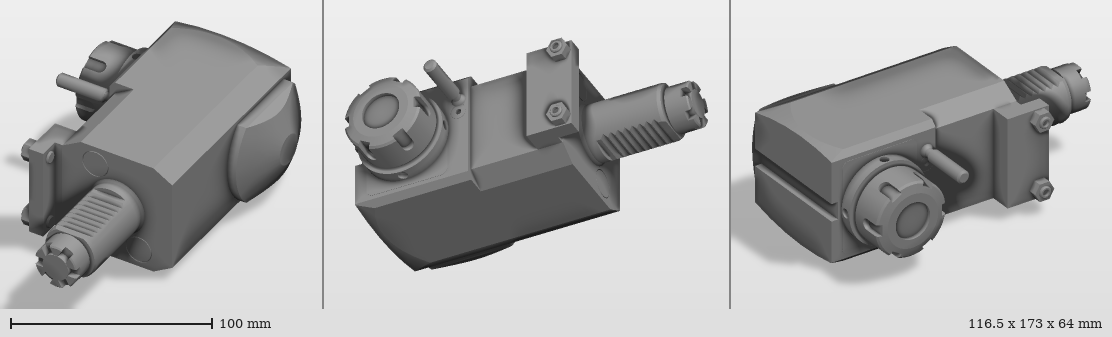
import cadquery as cq
import math


half_width = 32.0
back_y = 113.8
head_start_y = 51.0
head_left_x = -35.3
head_chamfer = -half_width - head_left_x
side_chamfer_x = 10.9
side_chamfer_z = 6.4
side_edge_z = half_width - side_chamfer_z
notch_depth = 4.0
notch_width = 10.0
crown_angle = 15.0
crown_x = -9.2
crown_center_z = 127.8
crown_radius = 159.0

plug_radius = 7.6
plug_inner_radius = 7.1
plug_groove_depth = 0.7
plug_x = 12.6
plug_z = 21.6

shank_radius = 15.0
shank_length = 45.3
shank_collar_radius = 16.1
shank_collar_length = 1.9
shank_chamfer = 0.7
shank_chamfer_length = 1.9
neck_radius = 9.7
flat_height = 12.0
flat_start = 7.1
tooth_depth = 1.5
tooth_pitch = 4.0
tooth_count = 8
first_tooth = 9.7

slot_count = 6

shank_nut_start = 46.4
overall_length = 173.0
shank_core_end = overall_length - back_y
shank_core_height = 0.2
shank_nut_end = shank_core_end - shank_core_height
shank_nut_radius = 12.3
shank_nut_chamfer = 0.7
shank_slot_depth = 3.6
shank_slot_width = 5.2
shank_core_radius = 7.5

spindle_y = 85.0
collar_radius = 23.5
collar_back = 1.0
collar_front = 8.0
collar_hole_radius = 2.6
collar_hole_depth = 3.5
collar_hole_count = 4
spindle_neck_radius = 19.7
nut_back = 9.0
nut_front = 29.5
nut_radius = 21.1
nut_edge = 0.7
nut_face_drop = 2.2
nut_face_rim_drop = 1.2
nut_face_rim_radius = 20.0
nut_face_radius = 15.2
bore_radius = 10.4
bore_depth = 2.6
nut_slot_width = 6.4
nut_slot_length = 13.1
nut_slot_floor = 18.0

plate_length = 45.0
plate_height = 53.0
plate_corner = 4.0
plate_thickness = 0.2

pipe_y = 56.4
pipe_z = 17.0
pipe_radius = 3.6
pipe_end = 32.9
pipe_start = 5.2
pipe_chamfer = 1.0
pipe_neck_radius = 2.5
pipe_neck_start = 2.0
pipe_foot_radius = 3.8
screw_z = 9.7
screw_radius = 4.3
screw_inner_radius = 4.0
screw_socket_radius = 1.5
screw_socket_depth = 1.7

bracket_left_x = -44.6
bracket_leg_right_x = -36.3
bracket_back_y = 14.0
bracket_step_y = 0.3
bracket_front_y = -10.9
bolt_y = -5.0
bolt_z = 19.9
bolt_radius = 3.3
bolt_left_x = -50.9
bolt_right_x = -35.1
bolt_chamfer = 0.5
bolt_socket_radius = 1.9
bolt_socket_depth = 1.7
hex_across_flats = 10.0
hex_height = 4.8

cap_flange = 5.2
cap_height = 16.3
cap_radius = 32.2
cap_tip_radius = 8.5
cap_half_width = 23.2
cap_top = 24.5
cap_side_taper = 5.2


def box(x_range, y_range, z_range):
    """Box given by its lower and upper limit along each axis."""
    sizes = [high - low for low, high in (x_range, y_range, z_range)]
    corner = (x_range[0], y_range[0], z_range[0])
    return cq.Workplane("XY").box(*sizes, centered=False).translate(corner)


def symmetric_prism(upper_points, y_start, y_end):
    """Prism along Y whose (x, z) outline is mirrored about Z = 0."""
    lower_points = [(x, -z) for x, z in reversed(upper_points)]
    outline = cq.Workplane("XZ", origin=(0, y_start, 0)).polyline(upper_points + lower_points)
    return outline.close().extrude(y_start - y_end)


def left_cylinder(x_start, x_end, radius, y, z):
    """Cylinder along X from x_start to the lower value x_end."""
    return cq.Workplane("YZ", origin=(x_start, y, z)).circle(radius).extrude(x_end - x_start)


def turned_left(points, y, z=0):
    """Solid of revolution from (distance beyond the head face, radius) points."""
    profile = [(head_left_x - distance, radius) for distance, radius in points]
    start_x, end_x = profile[0][0], profile[-1][0]
    outline = cq.Workplane("XY").polyline([(start_x, 0), *profile, (end_x, 0)]).close()
    return outline.revolve(360, (0, 0, 0), (1, 0, 0)).translate((0, y, z))


def make_housing():
    right_edge = [
        (half_width - side_chamfer_x, half_width),
        (half_width, side_edge_z),
    ]
    head = symmetric_prism(
        [(head_left_x, half_width - head_chamfer), (-half_width, half_width), *right_edge],
        head_start_y, back_y)
    front = symmetric_prism(
        [(-half_width, side_edge_z), (side_chamfer_x - half_width, half_width), *right_edge],
        0, head_start_y)
    body = front.union(head)

    crown_end_radius = crown_radius + back_y * math.tan(math.radians(crown_angle))
    for side in (1, -1):
        cone = cq.Solid.makeCone(
            crown_end_radius, crown_radius, back_y,
            pnt=cq.Vector(crown_x, 0, -side * crown_center_z), dir=cq.Vector(0, 1, 0))
        body = body.intersect(cq.Workplane(cone))

    notch = box((head_left_x, half_width), (back_y - notch_depth, back_y),
                (-notch_width / 2, notch_width / 2))
    body = body.cut(notch)

    plug_places = [(-plug_x, plug_z), (plug_x, -plug_z)]
    plug_face = cq.Workplane("XZ").pushPoints(plug_places)
    groove = plug_face.circle(plug_radius).circle(plug_inner_radius).extrude(-plug_groove_depth)
    return body.cut(groove)


def make_shank():
    profile = [
        (0, 0),
        (shank_collar_radius, 0),
        (shank_radius, -shank_collar_length),
        (shank_radius, shank_chamfer_length - shank_length),
        (shank_radius - shank_chamfer, -shank_length),
        (neck_radius, -shank_length),
        (neck_radius, -shank_nut_start),
        (shank_nut_radius, -shank_nut_start),
        (shank_nut_radius, shank_nut_chamfer - shank_nut_end),
        (shank_nut_radius - shank_nut_chamfer, -shank_nut_end),
        (shank_core_radius, -shank_nut_end),
        (shank_core_radius, -shank_core_end),
        (0, -shank_core_end),
    ]
    shank = cq.Workplane("XY").polyline(profile).close().revolve(360, (0, 0, 0), (0, 1, 0))

    tooth_line = [(-flat_start, flat_height)]
    for index in range(tooth_count):
        tip = first_tooth + index * tooth_pitch
        tooth_line += [(-tip, flat_height), (-tip - tooth_pitch / 2, flat_height - tooth_depth)]
    last_tip = first_tooth + tooth_count * tooth_pitch
    tooth_line += [(-last_tip, flat_height), (-shank_length, flat_height)]
    outline = [*tooth_line, (-shank_length, shank_radius), (-flat_start, shank_radius)]
    upper_cut = cq.Workplane("YZ").polyline(outline).close().extrude(shank_radius, both=True)
    shank = shank.cut(upper_cut).cut(upper_cut.mirror("XY"))

    slot = box((0, 2 * shank_nut_radius),
               (-shank_nut_end, shank_slot_depth - shank_nut_end),
               (-shank_slot_width / 2, shank_slot_width / 2))
    core = cq.Workplane("XZ").circle(shank_core_radius).extrude(shank_nut_end)
    slot = slot.cut(core)
    for index in range(slot_count):
        shank = shank.cut(slot.rotate((0, 0, 0), (0, 1, 0), index * 360 / slot_count))
    return shank


def make_spindle():
    spindle = turned_left([
        (0, spindle_neck_radius),
        (collar_back, spindle_neck_radius),
        (collar_back, collar_radius),
        (collar_front, collar_radius),
        (collar_front, spindle_neck_radius),
        (nut_back, spindle_neck_radius),
        (nut_back, nut_radius - nut_edge),
        (nut_back + nut_edge, nut_radius),
        (nut_front - nut_face_drop, nut_radius),
        (nut_front - nut_face_rim_drop, nut_face_rim_radius),
        (nut_front, nut_face_radius),
        (nut_front, bore_radius),
        (nut_front - bore_depth, bore_radius),
    ], spindle_y)
    axis_start = (0, spindle_y, 0)
    axis_end = (1, spindle_y, 0)

    hole_x = head_left_x - (collar_back + collar_front) / 2
    hole_floor = collar_radius - collar_hole_depth
    hole = cq.Workplane("XY", origin=(hole_x, spindle_y, hole_floor))
    hole = hole.circle(collar_hole_radius).extrude(2 * collar_hole_depth)
    for index in range(collar_hole_count):
        spindle = spindle.cut(hole.rotate(axis_start, axis_end, index * 360 / collar_hole_count))

    slot_center = (head_left_x - nut_front, spindle_y, nut_slot_floor)
    slot = cq.Workplane("XY", origin=slot_center)
    slot = slot.slot2D(2 * nut_slot_length, nut_slot_width).extrude(nut_radius)
    for index in range(slot_count):
        angle = (index + 0.5) * 360 / slot_count
        spindle = spindle.cut(slot.rotate(axis_start, axis_end, angle))
    return spindle


def make_seal_plate():
    plate = cq.Workplane("YZ", origin=(head_left_x, spindle_y, 0))
    plate = plate.rect(plate_length, plate_height).extrude(-plate_thickness)
    return plate.edges("|X").fillet(plate_corner)


def make_coolant_pipe():
    return turned_left([
        (0, pipe_foot_radius),
        (pipe_neck_start, pipe_neck_radius),
        (pipe_start, pipe_neck_radius),
        (pipe_start, pipe_radius - pipe_chamfer),
        (pipe_start + pipe_chamfer, pipe_radius),
        (pipe_end - pipe_chamfer, pipe_radius),
        (pipe_end, pipe_radius - pipe_chamfer),
    ], pipe_y, pipe_z)


def make_screw_recess():
    rim = left_cylinder(head_left_x + plate_thickness, head_left_x, screw_radius, pipe_y, screw_z)
    rim = rim.cut(
        left_cylinder(head_left_x + plate_thickness, head_left_x, screw_inner_radius, pipe_y, screw_z))
    socket = left_cylinder(
        head_left_x + screw_socket_depth, head_left_x, screw_socket_radius, pipe_y, screw_z)
    return rim.union(socket)


def make_bracket():
    height = (-side_edge_z, side_edge_z)
    leg = box((bracket_left_x, bracket_leg_right_x), (bracket_front_y, bracket_back_y), height)
    foot = box((bracket_left_x, -half_width), (bracket_step_y, bracket_back_y), height)
    bracket = leg.union(foot)
    for z in (bolt_z, -bolt_z):
        bolt = left_cylinder(bolt_right_x, bolt_left_x, bolt_radius, bolt_y, z)
        bolt = bolt.edges().chamfer(bolt_chamfer)
        hex_nut = cq.Workplane("YZ", origin=(bracket_left_x, bolt_y, z))
        hex_nut = hex_nut.transformed(rotate=(0, 0, 90))
        hex_nut = hex_nut.polygon(6, hex_across_flats, circumscribed=True).extrude(-hex_height)
        socket = left_cylinder(
            bolt_left_x + bolt_socket_depth, bolt_left_x, bolt_socket_radius, bolt_y, z)
        bracket = bracket.union(bolt).union(hex_nut).cut(socket)
    return bracket


def make_end_cap():
    rim_x = half_width + cap_flange
    tip_x = half_width + cap_height
    profile = [
        (half_width, 0),
        (half_width, cap_radius),
        (rim_x, cap_radius),
        (tip_x, cap_tip_radius),
        (tip_x, 0),
    ]
    cap = cq.Workplane("XY").polyline(profile).close().revolve(360, (0, 0, 0), (1, 0, 0))
    limits = symmetric_prism(
        [(half_width, cap_half_width), (rim_x, cap_half_width),
         (tip_x, cap_half_width - cap_side_taper)],
        -cap_radius, cap_top)
    return cap.intersect(limits).translate((0, spindle_y, 0))


result = (
    make_housing()
    .union(make_seal_plate())
    .cut(make_screw_recess())
    .union(make_spindle())
    .union(make_coolant_pipe())
    .union(make_shank())
    .union(make_bracket())
    .union(make_end_cap())
)